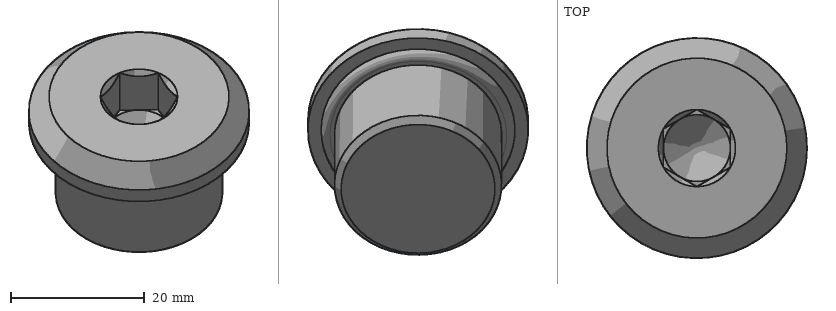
import cadquery as cq
import math

head_diameter = 33
head_height = 5.5
head_bevel = 3.05

shank_diameter = 25.0
overall_height = 21.5
shank_chamfer = 1

seal_diameter = 29.0
seal_height = 1.3

hex_across_flats = 10.0
hex_corner_diameter = hex_across_flats / math.cos(math.radians(30))
hex_depth = 8.0
lead_in_angle = 45
drill_point_angle = 120

head_radius = head_diameter / 2
shank_radius = shank_diameter / 2
seal_radius = seal_diameter / 2


def cone_below(radius, height, top_z):
    """Cone pointing down, with its base at top_z."""
    return cq.Workplane(cq.Solid.makeCone(radius, 0, height, cq.Vector(0, 0, top_z), cq.Vector(0, 0, -1)))


def make_socket():
    """Hexagon socket cutter with two corners on the Y axis."""
    hexagon = (
        cq.Workplane("XY")
        .polygon(6, hex_corner_diameter)
        .extrude(-hex_depth)
        .rotate((0, 0, 0), (0, 0, 1), 90)
    )
    lead_in_radius = hex_corner_diameter / 2
    lead_in = cone_below(lead_in_radius, lead_in_radius * math.tan(math.radians(lead_in_angle)), 0)
    drill_radius = hex_across_flats / 2
    drill_point_height = drill_radius / math.tan(math.radians(drill_point_angle / 2))
    drill_point = cone_below(drill_radius, drill_point_height, -hex_depth)
    return hexagon.union(lead_in).union(drill_point)


def make_plug():
    """Revolved head and shank with the socket cut from the top."""
    profile = (
        cq.Workplane("XZ")
        .polyline([
            (0, 0),
            (head_radius - head_bevel, 0),
            (head_radius, -head_bevel),
            (head_radius, -head_height),
            (shank_radius, -head_height),
            (shank_radius, -overall_height + shank_chamfer),
            (shank_radius - shank_chamfer, -overall_height),
            (0, -overall_height),
        ])
        .close()
    )
    body = profile.revolve(360, (0, 0, 0), (0, 1, 0))
    return body.cut(make_socket())


def make_seal():
    """Revolved ring on the shank whose outer side is a quarter round over its full height."""
    round_center_radius = seal_radius - seal_height
    round_offset = seal_height * math.sqrt(0.5)
    profile = (
        cq.Workplane("XZ", origin=(0, 0, -head_height))
        .moveTo(shank_radius, 0)
        .lineTo(seal_radius, 0)
        .threePointArc(
            (round_center_radius + round_offset, -round_offset),
            (round_center_radius, -seal_height),
        )
        .lineTo(shank_radius, -seal_height)
        .close()
    )
    return profile.revolve(360, (0, 0, 0), (0, 1, 0))


plug = make_plug()
seal = make_seal()
result = cq.Compound.makeCompound([plug.val(), seal.val()])